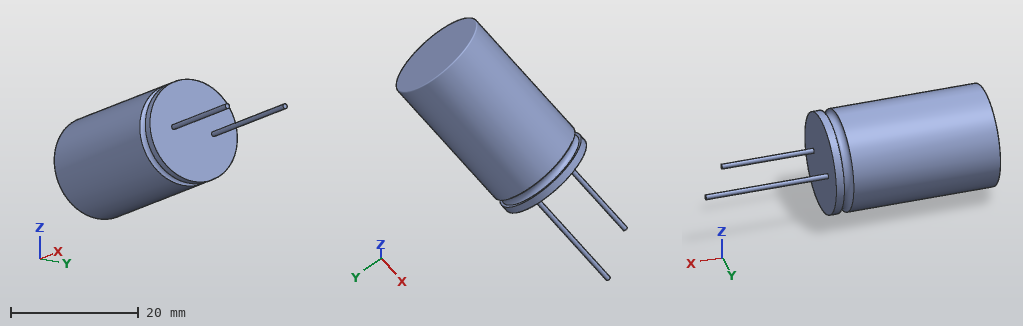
import cadquery as cq

case_length = 27.0
case_diameter = 16.5
end_edge_radius = 0.2
groove_center_x = 24.95
groove_radius = 0.85
rim_start_x = 25.65
lead_diameter = 0.8
lead_pitch = 7.5
long_lead_end_x = 47.0
short_lead_end_x = 42.05

case_radius = case_diameter / 2


def make_groove_cutter():
    """Ring that cuts a round groove, cut off square by the flat rim wall."""
    groove_start_x = groove_center_x - groove_radius
    wall_offset = rim_start_x - groove_center_x
    wall_depth = (groove_radius**2 - wall_offset**2) ** 0.5
    outside_radius = case_radius + groove_radius
    return (
        cq.Workplane("XY")
        .moveTo(groove_start_x, outside_radius)
        .lineTo(groove_start_x, case_radius)
        .threePointArc(
            (groove_center_x, case_radius - groove_radius),
            (rim_start_x, case_radius - wall_depth),
        )
        .lineTo(rim_start_x, outside_radius)
        .close()
        .revolve(360, (0, 0, 0), (1, 0, 0))
    )


def make_case():
    """Solid can with a rounded closed end and a crimped groove near the lead end."""
    can = cq.Workplane("YZ").circle(case_radius).extrude(case_length)
    can = can.faces("<X").edges().fillet(end_edge_radius)
    return can.cut(make_groove_cutter())


def make_lead(center_y, end_x):
    """Straight round wire that butts against the lead end of the case."""
    return (
        cq.Workplane("YZ", origin=(case_length, center_y, 0))
        .circle(lead_diameter / 2)
        .extrude(end_x - case_length)
    )


case = make_case()

lead_places = [
    (lead_pitch / 2, long_lead_end_x),
    (-lead_pitch / 2, short_lead_end_x),
]
leads = []
for center_y, end_x in lead_places:
    leads.append(make_lead(center_y, end_x).val())

result = cq.Compound.makeCompound([case.val(), *leads])